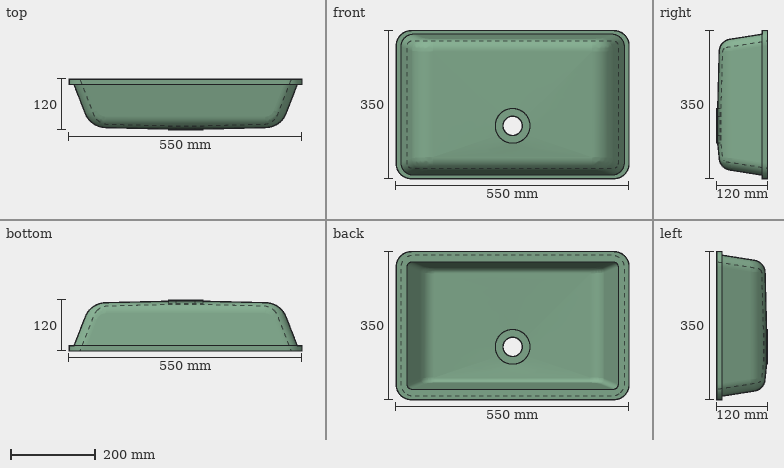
import cadquery as cq
import math

width = 550.0
height = 350.0
depth = 120.0

rim_thickness = 13.0
rim_corner_radius = 36.0

mouth_width = 527.0
mouth_height = 333.0
floor_width = 448.0
floor_height = 301.0
end_floor_radius = 53.5
long_wall_radius = 30.5
wall_thickness = 18.0
floor_thickness = 8.0
floor_fall = 3.5

drain_z = -50.0
drain_diameter = 45.0
ring_diameter = 82.0
ring_thickness = 8.0
ring_proud = 2.0

seat_depth = depth - ring_proud
floor_depth = seat_depth - floor_fall
pocket_depth = depth - ring_thickness

wall_depth = floor_depth - rim_thickness
end_lean = math.atan((mouth_width - floor_width) / 2 / wall_depth)
long_lean = math.atan((mouth_height - floor_height) / 2 / wall_depth)


def plane_at(y_depth, z=0.0):
    """XZ plane facing -Y at a depth below the back of the rim, centred on X = 0 and the given Z."""
    return cq.Workplane("XZ", origin=(0, -y_depth, z))


def half_span(floor_size, lean, y_depth, wall):
    """Half the distance between two opposite leaning walls, each set in by `wall` along its normal."""
    return floor_size / 2 + (floor_depth - y_depth) * math.tan(lean) - wall / math.cos(lean)


def flat_half(half_size, radius, lean):
    """Half size of the floor that stays flat between the fillets along two opposite edges."""
    return half_size - radius * math.tan(math.pi / 4 - lean / 2)


def trapezoid(plane, start_depth, start_half, end_depth, end_half):
    """Cross-section between two opposite leaning walls."""
    points = [
        (-start_half, -start_depth),
        (start_half, -start_depth),
        (end_half, -end_depth),
        (-end_half, -end_depth),
    ]
    return cq.Workplane(plane).polyline(points).close()


def floor_slope(start_depth, half_x, half_z):
    """Shallow ruled loft from the flat floor rectangle down to the round drain seat."""
    radius = ring_diameter / 2
    corner_angle = math.atan2(half_z, half_x)
    x = radius * math.cos(corner_angle)
    z = radius * math.sin(corner_angle)
    return (
        plane_at(start_depth)
        .polyline([(half_x, half_z), (-half_x, half_z), (-half_x, -half_z), (half_x, -half_z)])
        .close()
        .workplane(offset=floor_fall, origin=(0, -start_depth, drain_z))
        .moveTo(x, z)
        .threePointArc((0, radius), (-x, z))
        .threePointArc((-radius, 0), (-x, -z))
        .threePointArc((0, -radius), (x, -z))
        .threePointArc((radius, 0), (x, z))
        .close()
        .loft(ruled=True)
    )


def rounded_tub(start_depth, wall, floor):
    """Solid tub set in from the outer skin by `wall` at the sides and `floor` at the bottom."""
    end_depth = floor_depth - floor
    end_radius = end_floor_radius - wall
    long_radius = long_wall_radius - wall
    start_x = half_span(floor_width, end_lean, start_depth, wall)
    start_z = half_span(floor_height, long_lean, start_depth, wall)
    end_x = half_span(floor_width, end_lean, end_depth, wall)
    end_z = half_span(floor_height, long_lean, end_depth, wall)

    across = trapezoid("XY", start_depth, start_x, end_depth, end_x).extrude(height, both=True)
    along = trapezoid("ZY", start_depth, start_z, end_depth, end_z).extrude(width, both=True)
    tub = across.intersect(along)
    tub = tub.faces("<Y").edges("|Z").fillet(end_radius)
    tub = tub.faces("<Y").edges("|X").fillet(long_radius)

    flat_x = flat_half(end_x, end_radius, end_lean)
    flat_z = flat_half(end_z, long_radius, long_lean)
    return tub.union(floor_slope(end_depth, flat_x, flat_z))


def make_basin():
    """Rim and hollow tub with the drain hole and the pocket for the drain ring."""
    rim = plane_at(0).rect(width, height).extrude(rim_thickness)
    rim = rim.edges("|Y").fillet(rim_corner_radius)
    outside = rounded_tub(rim_thickness, 0, 0)
    cavity = rounded_tub(0, wall_thickness, floor_thickness)
    drain_hole = plane_at(0, drain_z).circle(drain_diameter / 2).extrude(depth)
    ring_pocket = plane_at(pocket_depth, drain_z).circle(ring_diameter / 2).extrude(ring_thickness)
    return rim.union(outside).cut(cavity).cut(drain_hole).cut(ring_pocket)


def make_drain_ring():
    """Flat ring around the drain hole."""
    return (
        plane_at(pocket_depth, drain_z)
        .circle(ring_diameter / 2)
        .circle(drain_diameter / 2)
        .extrude(ring_thickness)
    )


basin = make_basin()
drain_ring = make_drain_ring()

result = cq.Compound.makeCompound([basin.val(), drain_ring.val()])